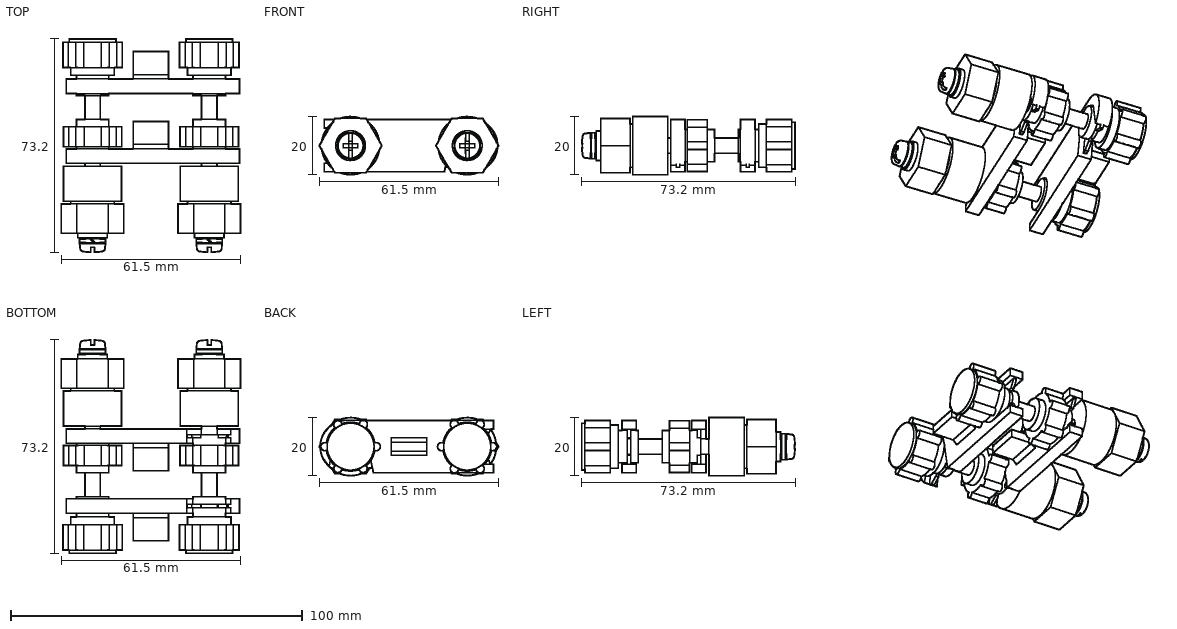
import cadquery as cq
import math


POST_SPACING = 40.0
LEFT_X = -POST_SPACING / 2
RIGHT_X = POST_SPACING / 2

HEX_CORNERS = 21.5
HEX_LENGTH = 10.1
SPACER_RADIUS = 7.5
SPACER_LENGTH = 0.85
BARREL_RADIUS = 10.0
BARREL_LENGTH = 12.1
ROD_RADIUS = 2.68
BARREL_START = HEX_LENGTH + SPACER_LENGTH
BARREL_END = BARREL_START + BARREL_LENGTH

LINK_THICKNESS = 5.0
LINK_HALF_HEIGHT = 9.0
LINK_PITCH = 23.95
LINK_GAP = 0.95
LOWER_LINK_Y = BARREL_END + LINK_GAP + LINK_THICKNESS / 2
UPPER_LINK_Y = LOWER_LINK_Y + LINK_PITCH
LINK_LEFT_REACH = 9.05
LINK_END_OFFSET = 1.45
SLOT_RADIUS = 6.0
HOOK_MOUTH_HALF = 7.8
WEB_THICKNESS = 1.1
WEB_HOLE_RADIUS = 3.0
FORK_WEB_REACH = 8.1
HOOK_WEB_REACH = 7.4
MOUTH_DEPTH = 1.75
TAB_LENGTH = 9.45
TAB_WIDTH = 12.2
TAB_HEIGHT = 3.0
TAB_GUSSET = 1.5

COLLAR_RADIUS = 5.6
FLANGE_LENGTH = 2.65
UPPER_COLLAR_LENGTH = 3.15
RIB_COUNT = 6
RIB_RADIUS = 1.4
UPPER_KNOB_RADIUS = 8.4
UPPER_KNOB_LIP_RADIUS = 8.05
UPPER_KNOB_BASE_RADIUS = 7.5
UPPER_KNOB_BASE_LENGTH = 2.7
UPPER_RIB_LENGTH = 8.75
UPPER_RIB_TIP = 10.2
UPPER_KNOB_LIP = 1.08
LOWER_COLLAR_LENGTH = 3.75
LOWER_KNOB_RADIUS = 8.2
LOWER_RIB_LENGTH = 6.9
LOWER_RIB_TIP = 10.05
LOWER_SLEEVE_LENGTH = 2.5

WASHER_RADIUS = 5.1
WASHER_THICKNESS = 1.55
THREAD_RADIUS = 2.5
WASHER_GAP = 0.3
SPRING_RADIUS = 4.5
SPRING_THICKNESS = 1.3
SPLIT_WIDTH = 0.3
SPLIT_ANGLE = 45.0
HEAD_HEIGHT = 3.05
HEAD_RADIUS = 4.5
HEAD_EDGE_RADIUS = 4.3
HEAD_EDGE_HEIGHT = 1.75
DOME_RADIUS = 3.4
DOME_HEIGHT = 0.3
SCREW_LENGTH = WASHER_THICKNESS + 2 * WASHER_GAP + SPRING_THICKNESS + HEAD_HEIGHT
SLOT_WIDTH = 1.2
SLOT_DEPTH = 1.75
CROSS_WIDTH = 1.3
CROSS_HALF_LENGTH = 2.65
CROSS_BOTTOM_HALF = 0.65
CROSS_DEPTH = 3.1


def disc(radius, start_y, length):
    """Cylinder around the Y axis from start_y towards +Y."""
    return cq.Workplane("XZ", origin=(0, start_y, 0)).circle(radius).extrude(-length)


def ribs(tip_radius, start_y, length):
    """Ring of round ribs, one of them on the X axis."""
    pitch_radius = tip_radius - RIB_RADIUS
    return (
        cq.Workplane("XZ", origin=(0, start_y, 0))
        .polarArray(pitch_radius, 0, 360, RIB_COUNT)
        .circle(RIB_RADIUS)
        .extrude(-length)
    )


def screw():
    """Cross-slotted screw with a flat washer and a split spring washer, pointing to -Y."""
    tip_y = -SCREW_LENGTH
    spring_y = tip_y + HEAD_HEIGHT + WASHER_GAP
    shoulder_angle = math.radians(45)
    shoulder_x = DOME_RADIUS + (HEAD_EDGE_RADIUS - DOME_RADIUS) * math.sin(shoulder_angle)
    shoulder_y = tip_y + HEAD_EDGE_HEIGHT - (HEAD_EDGE_HEIGHT - DOME_HEIGHT) * math.cos(shoulder_angle)
    head = (
        cq.Workplane("XY")
        .moveTo(0, tip_y)
        .threePointArc((DOME_RADIUS / 2, tip_y + DOME_HEIGHT / 4), (DOME_RADIUS, tip_y + DOME_HEIGHT))
        .threePointArc((shoulder_x, shoulder_y), (HEAD_EDGE_RADIUS, tip_y + HEAD_EDGE_HEIGHT))
        .lineTo(HEAD_RADIUS, tip_y + HEAD_HEIGHT)
        .lineTo(0, tip_y + HEAD_HEIGHT)
        .close()
        .revolve(360, (0, 0, 0), (0, 1, 0))
    )
    slot = cq.Workplane("XY").box(SLOT_WIDTH, 2 * SLOT_DEPTH, 4 * HEAD_RADIUS).translate((0, tip_y, 0))
    cross_points = [
        (-CROSS_HALF_LENGTH, tip_y),
        (CROSS_HALF_LENGTH, tip_y),
        (CROSS_BOTTOM_HALF, tip_y + CROSS_DEPTH),
        (-CROSS_BOTTOM_HALF, tip_y + CROSS_DEPTH),
    ]
    cross_arm = cq.Workplane("XY").polyline(cross_points).close().extrude(CROSS_WIDTH / 2, both=True)
    thread = disc(THREAD_RADIUS, tip_y + HEAD_HEIGHT, SCREW_LENGTH - HEAD_HEIGHT)
    split = (
        cq.Workplane("XY")
        .box(SPLIT_WIDTH, 4 * SPRING_THICKNESS, HEAD_RADIUS - THREAD_RADIUS)
        .rotate((0, 0, 0), (0, 0, 1), SPLIT_ANGLE)
        .translate((0, spring_y + SPRING_THICKNESS / 2, (HEAD_RADIUS + THREAD_RADIUS) / 2))
    )
    spring = disc(SPRING_RADIUS, spring_y, SPRING_THICKNESS).cut(split)
    washer = disc(WASHER_RADIUS, -WASHER_THICKNESS, WASHER_THICKNESS)
    body = head.union(thread).union(spring).union(washer)
    return body.cut(slot).cut(cross_arm).cut(cross_arm.rotate((0, 0, 0), (0, 1, 0), 90))


def lower_knob():
    """Ribbed nut whose collar reaches through the web of the lower link."""
    collar_y = LOWER_LINK_Y - WEB_THICKNESS / 2
    knob_y = collar_y + LOWER_COLLAR_LENGTH
    sleeve_y = knob_y + LOWER_RIB_LENGTH
    return (
        disc(COLLAR_RADIUS, collar_y, LOWER_COLLAR_LENGTH)
        .union(disc(LOWER_KNOB_RADIUS, knob_y, LOWER_RIB_LENGTH))
        .union(ribs(LOWER_RIB_TIP, knob_y, LOWER_RIB_LENGTH))
        .union(disc(COLLAR_RADIUS, sleeve_y, LOWER_SLEEVE_LENGTH))
    )


def upper_knob():
    """Ribbed knob with a flange ahead of it; the upper link's web sits between the two."""
    flange_y = UPPER_LINK_Y - WEB_THICKNESS / 2 - FLANGE_LENGTH
    collar_y = UPPER_LINK_Y + WEB_THICKNESS / 2
    base_y = collar_y + UPPER_COLLAR_LENGTH
    knob_y = base_y + UPPER_KNOB_BASE_LENGTH
    return (
        disc(COLLAR_RADIUS, flange_y, FLANGE_LENGTH)
        .union(disc(ROD_RADIUS, BARREL_END, collar_y - BARREL_END))
        .union(disc(COLLAR_RADIUS, collar_y, UPPER_COLLAR_LENGTH))
        .union(disc(UPPER_KNOB_BASE_RADIUS, base_y, UPPER_KNOB_BASE_LENGTH))
        .union(disc(UPPER_KNOB_RADIUS, knob_y, UPPER_RIB_LENGTH))
        .union(disc(UPPER_KNOB_LIP_RADIUS, knob_y + UPPER_RIB_LENGTH, UPPER_KNOB_LIP))
        .union(ribs(UPPER_RIB_TIP, knob_y, UPPER_RIB_LENGTH))
    )


def post(centre_x):
    """Complete binding post: screw, hexagon, barrel, rod and both knobs."""
    hexagon = cq.Workplane("XZ").polygon(6, HEX_CORNERS).extrude(-HEX_LENGTH)
    return (
        hexagon.union(screw())
        .union(disc(SPACER_RADIUS, HEX_LENGTH, SPACER_LENGTH))
        .union(disc(BARREL_RADIUS, BARREL_START, BARREL_LENGTH))
        .union(upper_knob())
        .union(lower_knob())
        .translate((centre_x, 0, 0))
    )


def plate(wire, thickness):
    """Plate of the given outline, centred on Y = 0."""
    return wire.extrude(thickness / 2, both=True)


def link_outline():
    """Straight-sided plate, square at the left and round at the right."""
    arc_x = RIGHT_X + LINK_END_OFFSET
    return (
        cq.Workplane("XZ")
        .moveTo(LEFT_X - LINK_LEFT_REACH, LINK_HALF_HEIGHT)
        .lineTo(arc_x, LINK_HALF_HEIGHT)
        .threePointArc((arc_x + LINK_HALF_HEIGHT, 0), (arc_x, -LINK_HALF_HEIGHT))
        .lineTo(LEFT_X - LINK_LEFT_REACH, -LINK_HALF_HEIGHT)
        .close()
    )


def open_slot(mouth_half, reach):
    """Round-ended slot outline about the origin, open towards -Z at the given reach."""
    return (
        cq.Workplane("XZ")
        .moveTo(-mouth_half, -reach)
        .lineTo(-SLOT_RADIUS, 0)
        .threePointArc((0, SLOT_RADIUS), (SLOT_RADIUS, 0))
        .lineTo(mouth_half, -reach)
        .close()
    )


def web_opening(reach):
    """Round hole for the rod with a flared way in from -Z."""
    return (
        cq.Workplane("XZ")
        .moveTo(-SLOT_RADIUS, -reach)
        .lineTo(-WEB_HOLE_RADIUS, MOUTH_DEPTH - reach)
        .lineTo(-WEB_HOLE_RADIUS, 0)
        .threePointArc((0, WEB_HOLE_RADIUS), (WEB_HOLE_RADIUS, 0))
        .lineTo(WEB_HOLE_RADIUS, MOUTH_DEPTH - reach)
        .lineTo(SLOT_RADIUS, -reach)
        .close()
    )


def slot_cutter(mouth_half, slot_reach, web_reach):
    """Slot that leaves a thin web, itself open for the rod, halfway through the link."""
    slot = plate(open_slot(mouth_half, slot_reach), LINK_THICKNESS)
    web = plate(open_slot(mouth_half, slot_reach), WEB_THICKNESS)
    web = web.cut(plate(web_opening(web_reach), WEB_THICKNESS))
    beyond_web = cq.Workplane("XY").box(4 * LINK_HALF_HEIGHT, LINK_THICKNESS, slot_reach)
    web = web.cut(beyond_web.translate((0, 0, -web_reach - slot_reach / 2)))
    return slot.cut(web)


def tab():
    """Grip tab behind the link, with a sloped gusset above and below its root."""
    root_y = LINK_THICKNESS / 2
    half = TAB_HEIGHT / 2
    profile = [
        (root_y, half + TAB_GUSSET),
        (root_y + TAB_GUSSET, half),
        (root_y + TAB_LENGTH, half),
        (root_y + TAB_LENGTH, -half),
        (root_y + TAB_GUSSET, -half),
        (root_y, -half - TAB_GUSSET),
    ]
    return cq.Workplane("YZ").polyline(profile).close().extrude(TAB_WIDTH / 2, both=True)


def link(centre_y):
    """Link with a fork open to -X at its left end and a hook open to -Z at its right end."""
    fork = slot_cutter(SLOT_RADIUS, LINK_LEFT_REACH, FORK_WEB_REACH)
    fork = fork.rotate((0, 0, 0), (0, 1, 0), 90).translate((LEFT_X, 0, 0))
    hook = slot_cutter(HOOK_MOUTH_HALF, LINK_HALF_HEIGHT, HOOK_WEB_REACH).translate((RIGHT_X, 0, 0))
    body = plate(link_outline(), LINK_THICKNESS).cut(fork).cut(hook).union(tab())
    return body.translate((0, centre_y, 0))


right_post = post(RIGHT_X)
lower_link = link(LOWER_LINK_Y).cut(right_post)
left_post_with_link = post(LEFT_X).union(lower_link)
upper_link = link(UPPER_LINK_Y)

result = cq.Compound.makeCompound([left_post_with_link.val(), right_post.val(), upper_link.val()])